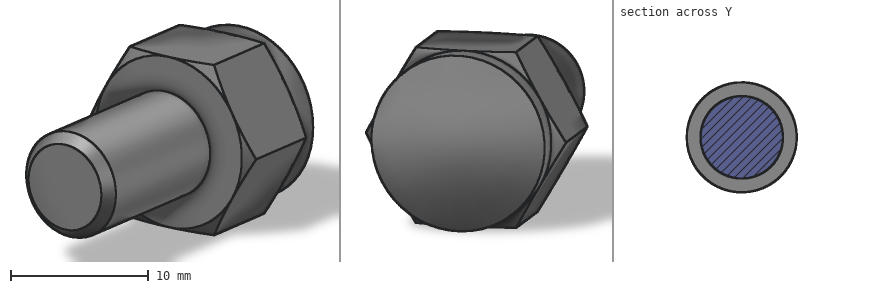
import cadquery as cq
import math

total_length = 23.0
across_flats = 13.0
hex_height = 7.0
hex_chamfer_angle = 20.0

head_height = 10.0
dome_radius = 20.0

shank_diameter = 8.0
tip_chamfer = 0.75
neck_diameter = 6.0
neck_length = 0.45

head_radius = across_flats / 2
corner_radius = head_radius / math.cos(math.pi / 6)
corner_drop = (corner_radius - head_radius) * math.tan(math.radians(hex_chamfer_angle))
dome_height = dome_radius - math.sqrt(dome_radius**2 - head_radius**2)
dome_base = head_height - dome_height
tip_y = head_height - total_length


def make_hexagon():
    """Hexagonal prism with corners on X, its corners bevelled at both ends."""
    prism = (
        cq.Workplane("XZ")
        .polygon(6, 2 * corner_radius)
        .extrude(-hex_height)
    )
    bevel_envelope = (
        cq.Workplane("XY")
        .moveTo(0, 0)
        .lineTo(head_radius, 0)
        .lineTo(corner_radius, corner_drop)
        .lineTo(corner_radius, hex_height - corner_drop)
        .lineTo(head_radius, hex_height)
        .lineTo(0, hex_height)
        .close()
        .revolve(360, (0, 0, 0), (0, 1, 0))
    )
    return prism.intersect(bevel_envelope)


def make_domed_cap():
    """Round collar above the hexagon, closed by a shallow spherical dome."""
    arc_mid_x = head_radius / 2
    arc_mid_y = head_height - dome_radius + math.sqrt(dome_radius**2 - arc_mid_x**2)
    return (
        cq.Workplane("XY")
        .moveTo(0, hex_height)
        .lineTo(head_radius, hex_height)
        .lineTo(head_radius, dome_base)
        .threePointArc((arc_mid_x, arc_mid_y), (0, head_height))
        .close()
        .revolve(360, (0, 0, 0), (0, 1, 0))
    )


def make_shank():
    """Undercut neck followed by the plain shank with a chamfered tip."""
    neck_radius = neck_diameter / 2
    shank_radius = shank_diameter / 2
    return (
        cq.Workplane("XY")
        .moveTo(0, 0)
        .lineTo(neck_radius, 0)
        .lineTo(neck_radius, -neck_length)
        .lineTo(shank_radius, -neck_length)
        .lineTo(shank_radius, tip_y + tip_chamfer)
        .lineTo(shank_radius - tip_chamfer, tip_y)
        .lineTo(0, tip_y)
        .close()
        .revolve(360, (0, 0, 0), (0, 1, 0))
    )


result = make_hexagon().union(make_domed_cap()).union(make_shank())